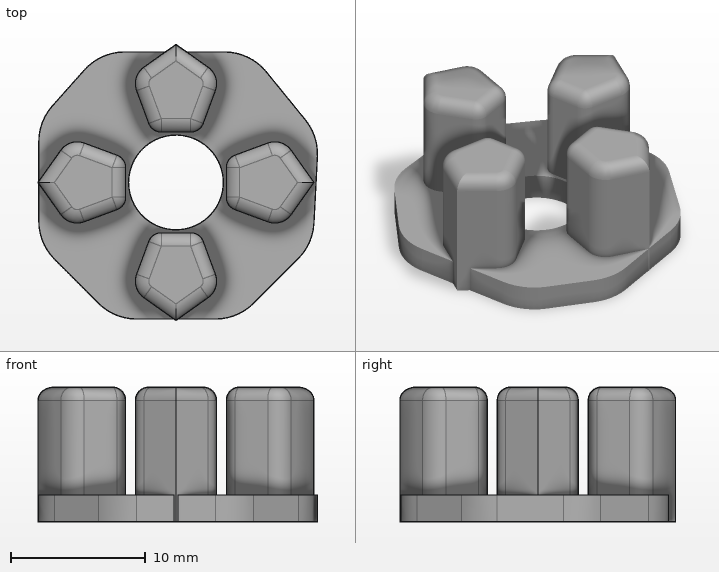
import cadquery as cq

PLATE_THICKNESS = 2.0
PLATE_CORNER_RADIUS = 4.0
BORE_DIAMETER = 7.0
PLATE_LEFT = -10.18
PLATE_BACK = 9.69
PLATE_FRONT = -10.15
PLATE_CORNERS = [
    (PLATE_LEFT, -4.52),
    (-4.58, PLATE_FRONT),
    (4.58, PLATE_FRONT),
    (10.16, -4.56),
    (10.58, 3.45),
    (5.5, PLATE_BACK),
    (-5.6, PLATE_BACK),
    (PLATE_LEFT, 4.55),
]

POST_COUNT = 4
POST_HEIGHT = 10.0
POST_TIP_SPAN = 20.47
POST_TIP_DISTANCE = POST_TIP_SPAN / 2
POST_SHOULDER_DISTANCE = 7.88
POST_SHOULDER_WIDTH = 6.64
POST_INNER_DISTANCE = 3.73
POST_INNER_WIDTH = 3.57
POST_SHOULDER_RADIUS = 1.5
POST_INNER_RADIUS = 1.0
POST_TOP_RADIUS = 1.0


def make_plate():
    """Flat plate with rounded corners and the central bore."""
    plate = cq.Workplane("XY").polyline(PLATE_CORNERS).close().extrude(PLATE_THICKNESS)
    plate = plate.edges("|Z").fillet(PLATE_CORNER_RADIUS)
    return plate.faces(">Z").workplane(origin=(0, 0, 0)).hole(BORE_DIAMETER)


def make_post():
    """Post on the +X axis, rounded on top and on every upright edge but the outer one."""
    outline = [
        (POST_INNER_DISTANCE, -POST_INNER_WIDTH / 2),
        (POST_SHOULDER_DISTANCE, -POST_SHOULDER_WIDTH / 2),
        (POST_TIP_DISTANCE, 0.0),
        (POST_SHOULDER_DISTANCE, POST_SHOULDER_WIDTH / 2),
        (POST_INNER_DISTANCE, POST_INNER_WIDTH / 2),
    ]
    post = cq.Workplane("XY").polyline(outline).close().extrude(POST_HEIGHT)
    post = post.edges("|Z and (<Y or >Y)").fillet(POST_SHOULDER_RADIUS)
    post = post.faces("<X").edges("|Z").fillet(POST_INNER_RADIUS)
    return post.faces(">Z").edges().fillet(POST_TOP_RADIUS)


result = make_plate()
post = make_post()
for index in range(POST_COUNT):
    turn = index * 360 / POST_COUNT
    result = result.union(post.rotate((0, 0, 0), (0, 0, 1), turn))